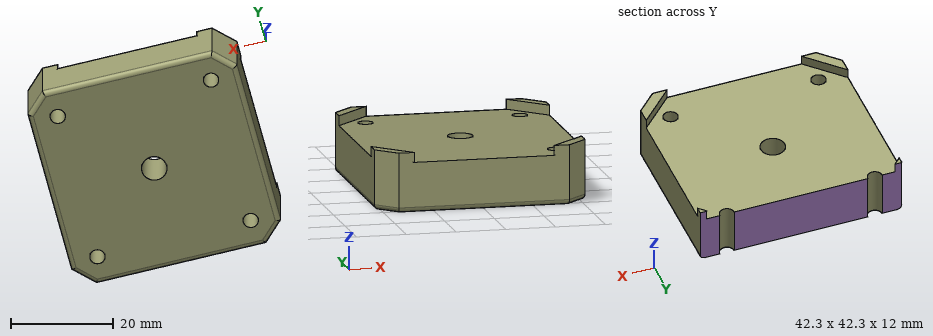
import cadquery as cq

side = 42.3
total_height = 12.0
corner_chamfer = 4.0
bottom_fillet = 1.0

lip_height = 2.0
lip_leg = 7.1

mount_spacing = 31.0
mount_diameter = 3.0
center_diameter = 5.0

plate_height = total_height - lip_height


def make_body():
    """Square block with chamfered vertical corners and a rounded bottom rim."""
    block = cq.Workplane("XY").box(side, side, total_height, centered=(True, True, False))
    return block.edges("|Z").chamfer(corner_chamfer).faces("<Z").edges().fillet(bottom_fillet)


def make_lip_clearance():
    """Octagonal volume above the plate that leaves a lip standing at each corner."""
    clearance = (
        cq.Workplane("XY")
        .workplane(offset=plate_height)
        .box(side, side, lip_height, centered=(True, True, False))
    )
    return clearance.edges("|Z").chamfer(lip_leg)


def make_holes():
    """Center bore and the square pattern of mounting holes."""
    bore = cq.Workplane("XY").circle(center_diameter / 2).extrude(total_height)
    mounts = (
        cq.Workplane("XY")
        .rect(mount_spacing, mount_spacing, forConstruction=True)
        .vertices()
        .circle(mount_diameter / 2)
        .extrude(total_height)
    )
    return bore.union(mounts)


result = make_body().cut(make_lip_clearance()).cut(make_holes())